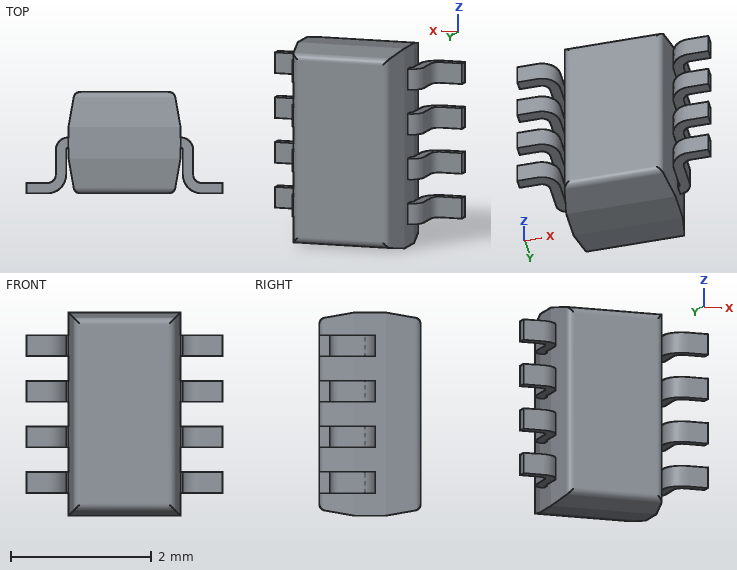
import cadquery as cq


body_width = 1.6
body_length = 2.9
body_height = 1.45
band_height = 0.45
draft_angle = 10.0
rim_radius = 0.1
taper_height = (body_height - band_height) / 2
mounting_y = -body_height / 2

lead_span = 2.8
lead_thickness = 0.15
lead_width = 0.3
lead_pitch = 0.65
leads_per_side = 4
foot_flat = 0.3
foot_inner_radius = 0.12
shoulder_inner_radius = 0.03
shoulder_outer_radius = 0.18
shoulder_drop = 0.09


def make_body():
    """Straight middle band with drafted ends, whose face rims are rounded."""
    band = (
        cq.Workplane("XZ")
        .rect(body_width, body_length)
        .extrude(band_height / 2, both=True)
    )
    with_front = band.faces("<Y").wires().toPending().extrude(taper_height, taper=draft_angle)
    with_both_ends = (
        with_front.faces(">Y")
        .wires()
        .toPending()
        .workplane()
        .extrude(taper_height, taper=draft_angle)
    )
    return with_both_ends.faces("<Y or >Y").edges().fillet(rim_radius)


def make_lead(side, center_z):
    """One lead: foot, S-bend and shoulder ending on the body band; side is +1 or -1 in X."""
    foot_outer_radius = foot_inner_radius + lead_thickness

    tip_x = lead_span / 2
    foot_bend_x = tip_x - foot_flat
    outer_x = foot_bend_x - foot_inner_radius
    inner_x = outer_x - lead_thickness
    root_x = body_width / 2

    foot_bottom_y = mounting_y
    foot_top_y = foot_bottom_y + lead_thickness
    foot_bend_y = foot_top_y + foot_inner_radius

    shoulder_top_y = lead_thickness / 2
    shoulder_bottom_y = -lead_thickness / 2
    shoulder_inner_end_y = shoulder_bottom_y - shoulder_inner_radius

    lead = (
        cq.Workplane("XY")
        .moveTo(root_x, shoulder_top_y)
        .radiusArc((outer_x, -shoulder_drop), shoulder_outer_radius)
        .lineTo(outer_x, foot_bend_y)
        .radiusArc((foot_bend_x, foot_top_y), -foot_inner_radius)
        .lineTo(tip_x, foot_top_y)
        .lineTo(tip_x, foot_bottom_y)
        .lineTo(foot_bend_x, foot_bottom_y)
        .radiusArc((inner_x, foot_bend_y), foot_outer_radius)
        .lineTo(inner_x, shoulder_inner_end_y)
        .radiusArc((root_x, shoulder_bottom_y), -shoulder_inner_radius)
        .close()
        .extrude(lead_width / 2, both=True)
    )
    if side < 0:
        lead = lead.mirror("YZ")
    return lead.translate((0, 0, center_z))


body = make_body()

leads = []
for side in (-1, 1):
    for position in range(leads_per_side):
        lead_z = (position - (leads_per_side - 1) / 2) * lead_pitch
        leads.append(make_lead(side, lead_z).val())

result = cq.Compound.makeCompound([body.val(), *leads])